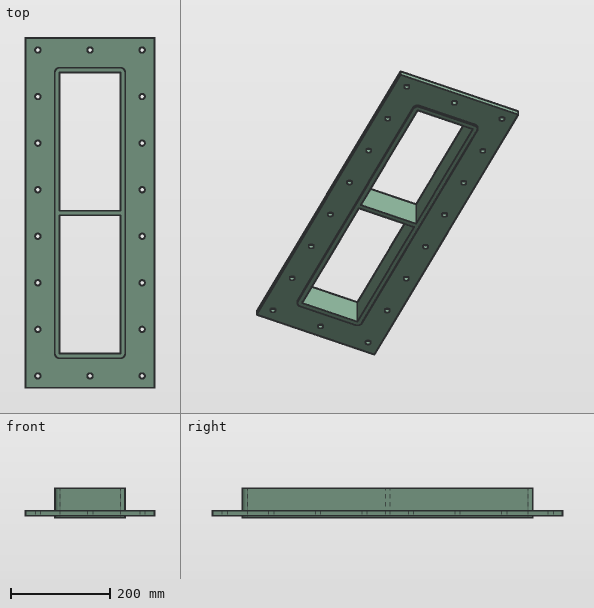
import cadquery as cq

plate_width = 260.5
plate_length = 706.0
plate_thickness = 10.5

duct_width = 142.0
duct_length = 586.0
duct_height = 60.0
duct_wall = 10.0
duct_corner_radius = 10.0
duct_drop = 4.0

web_thickness = 10.0

hole_diameter = 10.5
hole_column_offset = 105.0
hole_pitch = 94.0
holes_per_side = 8

opening_width = duct_width - 2 * duct_wall
opening_length = (duct_length - 2 * duct_wall - web_thickness) / 2
opening_offset = (opening_length + web_thickness) / 2


def bolt_positions():
    """Full columns along both long sides plus one middle hole at each end."""
    end_row = hole_pitch * (holes_per_side - 1) / 2
    points = [(0, -end_row), (0, end_row)]
    for index in range(holes_per_side):
        y = index * hole_pitch - end_row
        points += [(-hole_column_offset, y), (hole_column_offset, y)]
    return points


def make_plate():
    """Flange plate with its underside at Z = 0."""
    plate = cq.Workplane("XY").box(plate_width, plate_length, plate_thickness, centered=(True, True, False))
    return plate.faces(">Z").workplane().pushPoints(bolt_positions()).hole(hole_diameter)


def make_duct():
    """Solid duct block with rounded vertical corners."""
    block = cq.Workplane("XY").workplane(offset=-duct_drop)
    block = block.rect(duct_width, duct_length).extrude(duct_height)
    return block.edges("|Z").fillet(duct_corner_radius)


def make_openings():
    """The two sharp-cornered passages on either side of the web."""
    openings = cq.Workplane("XY").workplane(offset=-duct_drop)
    openings = openings.pushPoints([(0, -opening_offset), (0, opening_offset)])
    return openings.rect(opening_width, opening_length).extrude(duct_height)


result = make_plate().union(make_duct()).cut(make_openings())